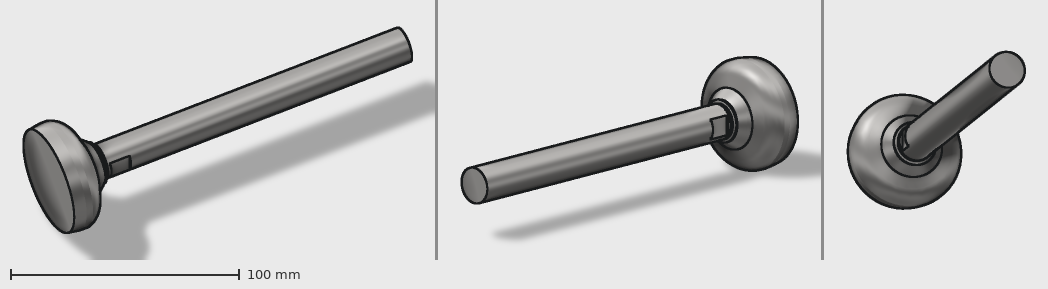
import cadquery as cq

total_length = 175.0
foot_diameter = 50.0
foot_radius = foot_diameter / 2
foot_face_y = -total_length / 2

face_radius = 24.2
rim_start_height = 5.8
rim_end_height = 9.0
shoulder_radius = 18.7
shoulder_height = 15.8
shoulder_bulge_radius = 22.8
shoulder_bulge_height = 13.1
mouth_radius = 13.8
mouth_height = 17.8
socket_floor_height = rim_end_height

bulge_radius = 12.6
bulge_height = 19.5
bulge_middle_radius = 11.4
bulge_middle_height = 21.2
collar_radius = 9.6
collar_base_height = 23.0
collar_rim_height = 23.6
collar_top_radius = 8.0
collar_top_height = 24.2
neck_radius = 6.6
rod_radius = 8.0
rod_start_height = 25.2

flat_spacing = 13.3
flat_start_height = 26.8
flat_length = 9.6


def revolve_about_y(profile):
    """Revolve a radius-height profile about Y and set it on the foot face."""
    solid = profile.close().revolve(360, (0, 0, 0), (0, 1, 0))
    return solid.translate((0, foot_face_y, 0))


def make_foot():
    """Round foot with a rounded shoulder and a cylindrical socket for the stud."""
    profile = (
        cq.Workplane("XY")
        .lineTo(face_radius, 0)
        .lineTo(foot_radius, rim_start_height)
        .lineTo(foot_radius, rim_end_height)
        .threePointArc(
            (shoulder_bulge_radius, shoulder_bulge_height),
            (shoulder_radius, shoulder_height),
        )
        .lineTo(mouth_radius, mouth_height)
        .lineTo(mouth_radius, socket_floor_height)
        .lineTo(0, socket_floor_height)
    )
    return revolve_about_y(profile)


def make_stud():
    """Flatted rod on a necked collar and a bulging base that fills the socket."""
    profile = (
        cq.Workplane("XY")
        .moveTo(0, socket_floor_height)
        .lineTo(mouth_radius, socket_floor_height)
        .lineTo(mouth_radius, mouth_height)
        .lineTo(bulge_radius, bulge_height)
        .threePointArc(
            (bulge_middle_radius, bulge_middle_height),
            (collar_radius, collar_base_height),
        )
        .lineTo(collar_radius, collar_rim_height)
        .lineTo(collar_top_radius, collar_top_height)
        .lineTo(neck_radius, collar_top_height)
        .lineTo(neck_radius, rod_start_height)
        .lineTo(rod_radius, rod_start_height)
        .lineTo(rod_radius, total_length)
        .lineTo(0, total_length)
    )
    stud = revolve_about_y(profile)
    flat_middle_y = foot_face_y + flat_start_height + flat_length / 2
    for side in (-1, 1):
        cutter = cq.Workplane("XY").box(rod_radius, flat_length, 2 * rod_radius)
        cutter_x = side * (flat_spacing + rod_radius) / 2
        stud = stud.cut(cutter.translate((cutter_x, flat_middle_y, 0)))
    return stud


foot = make_foot()
stud = make_stud()
result = cq.Compound.makeCompound([foot.val(), stud.val()])